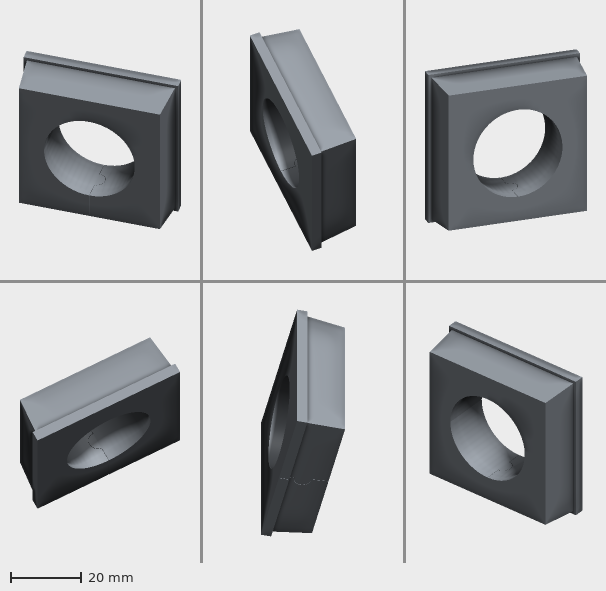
import cadquery as cq

flange_side = 46.0
flange_thickness = 3.0
total_depth = 14.5
plug_depth = total_depth - flange_thickness
plug_back_side = 44.0
plug_front_side = 42.0
bore_diameter = 27.0

split_gap = 0.1
tab_radius = 2.55
tab_center_y = 7.5

front_y = 0.0
flange_y = front_y + plug_depth
back_y = front_y + total_depth


def xz_plane(y):
    """Plane facing +Y at depth y, with its local vertical axis along Z."""
    return cq.Plane(origin=(0, y, 0), xDir=(-1, 0, 0), normal=(0, 1, 0))


def make_plug():
    return (
        cq.Workplane(xz_plane(front_y))
        .rect(plug_front_side, plug_front_side)
        .workplane(offset=plug_depth)
        .rect(plug_back_side, plug_back_side)
        .loft(ruled=True)
    )


def make_flange():
    return cq.Workplane(xz_plane(flange_y)).rect(flange_side, flange_side).extrude(flange_thickness)


def make_bore():
    return cq.Workplane(xz_plane(front_y)).circle(bore_diameter / 2).extrude(total_depth)


def make_split():
    """Constant-width slit that bulges toward +X around the tab, from below up to the bore axis."""
    half_gap = split_gap / 2
    outer_radius = tab_radius + half_gap
    inner_radius = tab_radius - half_gap
    profile = (
        cq.Workplane("XY", origin=(0, 0, -flange_side / 2))
        .moveTo(half_gap, front_y)
        .lineTo(half_gap, tab_center_y - outer_radius)
        .threePointArc((outer_radius, tab_center_y), (half_gap, tab_center_y + outer_radius))
        .lineTo(half_gap, back_y)
        .lineTo(-half_gap, back_y)
        .lineTo(-half_gap, tab_center_y + inner_radius)
        .threePointArc((inner_radius, tab_center_y), (-half_gap, tab_center_y - inner_radius))
        .lineTo(-half_gap, front_y)
        .close()
    )
    return profile.extrude(flange_side / 2)


result = make_plug().union(make_flange()).cut(make_bore()).cut(make_split())